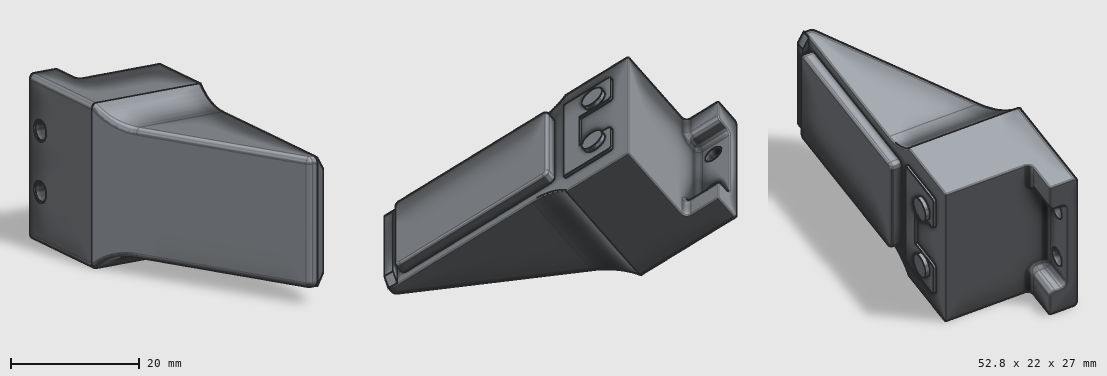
import cadquery as cq
import math


length = 52.8
back_y = 20.0
flange_thickness = 5.0
flange_length = 6.35
block_end_x = 18.45
tip_edge_y = 18.4

block_width = 27.0
finger_width = 21.3
neck_radius = 9.0

main_radius = 1.0
block_edge_y_depth = 0.8
block_edge_z_depth = main_radius
rim_radius = 0.2

slot_width = 17.3
slot_floor_y = 2.0

hole_diameter = 3.15
hole_x = 3.15
hole_spacing = 10.0
hole_chamfer = 0.2

plate_start_x = 9.35
plate_thickness = 0.5
plate_width = 19.95
plate_notch_width = 7.9
plate_notch_end_x = 15.4
plate_corner_radius = 0.55
boss_diameter = 3.9
boss_x = 12.4
boss_spacing = 11.95
boss_top_y = 21.3

lip_start_x = 50.9
lip_end_x = 52.6
lip_height = 1.1
lip_base_width = 21.0
lip_top_width = 16.9

pad_start_x = 20.5
pad_end_x = 50.05
pad_width = 17.65
pad_height = 2.0
pad_corner_radius = 1.0
pad_edge_radius = 0.5

tolerance = 0.005


def xz_plane(y):
    """Sketch plane at the given Y, drawn with X to the right and Z up."""
    return cq.Workplane("XZ", origin=(0, y, 0))


def extrude_back(sketch, depth):
    """Extrude a sketch lying in an XZ plane toward +Y."""
    return sketch.extrude(-depth)


def box(x_range, y_range, width):
    """Box spanning the given X and Y ranges, centred on Z = 0."""
    x_size = x_range[1] - x_range[0]
    y_size = y_range[1] - y_range[0]
    corner = (x_range[0], y_range[0], 0)
    return cq.Workplane("XY").box(x_size, y_size, width, centered=(False, False, True)).translate(corner)


def pick_edges(body, is_wanted):
    """Select the edges whose bounding box and centre satisfy the given test."""
    edges = body.edges().vals()
    return body.newObject([edge for edge in edges if is_wanted(edge.BoundingBox(), edge.Center())])



def flange_slot():
    """Relief slot with rounded floor corners, running along the flange."""
    slot = box((0, flange_length), (slot_floor_y, flange_thickness), slot_width)
    return slot.edges("|X and <Y").fillet(main_radius)


def flange_mouth_edges(bounds, centre):
    """Convex edges between the slot walls and the step face of the flange."""
    runs_along_x = bounds.xmax < flange_length + tolerance and bounds.xlen > flange_length / 2
    on_slot_wall = abs(abs(centre.z) - slot_width / 2) < tolerance
    return runs_along_x and on_slot_wall and abs(centre.y - flange_thickness) < tolerance


def flange_root_edges(bounds, centre):
    """Concave edges where the flange meets the block."""
    on_block_face = bounds.xlen < tolerance and abs(centre.x - flange_length) < tolerance
    return on_block_face and bounds.ymax < flange_thickness + tolerance


def block_edge_trim(z_side):
    """Material to remove so that a long front edge of the block becomes a quarter ellipse."""
    centre_y = block_edge_y_depth
    centre_z = z_side * (block_width / 2 - block_edge_z_depth)
    section = cq.Workplane("YZ", origin=(0, centre_y, centre_z))
    corner = (
        section
        .center(-block_edge_y_depth / 2, z_side * block_edge_z_depth / 2)
        .rect(block_edge_y_depth, block_edge_z_depth)
        .extrude(block_end_x)
    )
    return corner.cut(section.ellipse(block_edge_y_depth, block_edge_z_depth).extrude(block_end_x))


def housing_block():
    block = box((0, block_end_x), (0, back_y), block_width)
    block = block.cut(box((0, flange_length), (flange_thickness, back_y), block_width))
    block = block.cut(flange_slot())
    block = pick_edges(block, flange_mouth_edges).fillet(main_radius)
    block = pick_edges(block, flange_root_edges).fillet(main_radius)
    for z_side in (-1, 1):
        block = block.cut(block_edge_trim(z_side))
    return block



def finger_side():
    """Finger seen along Z: tapers to a thin tip."""
    return (
        cq.Workplane("XY")
        .moveTo(block_end_x, 0)
        .lineTo(length, tip_edge_y)
        .lineTo(length, back_y)
        .lineTo(block_end_x, back_y)
        .close()
        .extrude(block_width / 2, both=True)
    )


def finger_front():
    """Finger seen along Y: narrows from the block through arcs tangent to its straight sides."""
    half_block = block_width / 2
    half_finger = finger_width / 2
    neck_angle = math.acos(1 - (half_block - half_finger) / neck_radius)
    neck_end_x = block_end_x + neck_radius * math.sin(neck_angle)
    mid_x = neck_end_x - neck_radius * math.sin(neck_angle / 2)
    mid_z = half_finger + neck_radius * (1 - math.cos(neck_angle / 2))
    outline = (
        xz_plane(0)
        .moveTo(block_end_x, -half_block)
        .threePointArc((mid_x, -mid_z), (neck_end_x, -half_finger))
        .lineTo(length, -half_finger)
        .lineTo(length, half_finger)
        .lineTo(neck_end_x, half_finger)
        .threePointArc((mid_x, mid_z), (block_end_x, half_block))
        .close()
    )
    return extrude_back(outline, back_y)


def finger_round_edges(bounds, centre):
    """Edges along both sides of the sloped face, and the edges of the tip face except its back one."""
    on_slope_side = bounds.ymin < tip_edge_y - tolerance and bounds.xlen > tolerance
    on_tip = bounds.xmin > length - tolerance and bounds.ymin < back_y - tolerance
    return on_tip or (on_slope_side and bounds.ymax < back_y - tolerance)


def finger():
    body = finger_side().intersect(finger_front())
    return pick_edges(body, finger_round_edges).fillet(main_radius)



def rim_edges(bounds, centre):
    """Outline of the back face, the flange end face and the stepped side of the block."""
    on_back = bounds.ymin > back_y - tolerance
    on_flange_end = bounds.xmax < tolerance
    on_step_outline = (
        bounds.zlen < tolerance
        and abs(centre.z) > block_width / 2 - tolerance
        and bounds.ymin > flange_thickness - tolerance
        and bounds.xmax < flange_length + tolerance
    )
    return on_back or on_flange_end or on_step_outline


def flange_hole(z):
    """Through hole in the flange, chamfered at the front face and open to the slot floor."""
    bore_radius = hole_diameter / 2
    mouth_radius = bore_radius + hole_chamfer
    half_section = (
        cq.Workplane("XY")
        .moveTo(0, 0)
        .lineTo(mouth_radius, 0)
        .lineTo(bore_radius, hole_chamfer)
        .lineTo(bore_radius, slot_floor_y)
        .lineTo(0, slot_floor_y)
        .close()
    )
    return half_section.revolve(360, (0, 0), (0, 1)).translate((hole_x, 0, z))


def raised_plate():
    """Two-armed plate with a round boss on each arm."""
    plate_top_y = back_y + plate_thickness
    plate = box((plate_start_x, block_end_x), (back_y, plate_top_y), plate_width)
    plate = plate.cut(box((plate_start_x, plate_notch_end_x), (back_y, plate_top_y), plate_notch_width))
    plate = plate.edges("|Y and <X").fillet(plate_corner_radius)
    centres = [(boss_x, -boss_spacing / 2), (boss_x, boss_spacing / 2)]
    boss_circles = xz_plane(back_y).pushPoints(centres).circle(boss_diameter / 2)
    bosses = extrude_back(boss_circles, boss_top_y - back_y)
    return plate.union(bosses)


def tip_lip():
    """Lip across the tip, narrower at its crest than at its base."""
    profile = (
        cq.Workplane("YZ", origin=(lip_start_x, 0, 0))
        .moveTo(back_y, -lip_base_width / 2)
        .lineTo(back_y + lip_height, -lip_top_width / 2)
        .lineTo(back_y + lip_height, lip_top_width / 2)
        .lineTo(back_y, lip_base_width / 2)
        .close()
    )
    return profile.extrude(lip_end_x - lip_start_x)


def make_housing():
    body = housing_block().union(finger())
    body = pick_edges(body, rim_edges).fillet(rim_radius)
    for z in (-hole_spacing / 2, hole_spacing / 2):
        body = body.cut(flange_hole(z))
    return body.union(raised_plate()).union(tip_lip())



def make_pad():
    """Rounded grip pad seated on the back face of the finger."""
    pad = box((pad_start_x, pad_end_x), (back_y, back_y + pad_height), pad_width)
    pad = pad.edges("|Y").fillet(pad_corner_radius)
    return pad.faces(">Y").edges().fillet(pad_edge_radius)


housing = make_housing()
pad = make_pad()

result = cq.Compound.makeCompound([housing.val(), pad.val()])